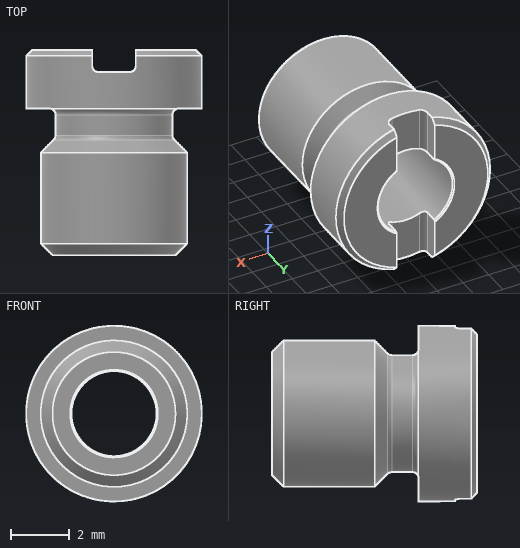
import cadquery as cq

total_length = 7.0
head_diameter = 6.0
head_length = 2.0
head_chamfer = 0.2
shank_diameter = 5.0
shank_length = 3.5
shank_chamfer = 0.4
neck_diameter = 4.0
bore_diameter = 2.9
bore_chamfer = 0.05
slot_width = 1.48
slot_depth = 0.75
inner_corner_radius = 0.2

head_radius = head_diameter / 2
shank_radius = shank_diameter / 2
neck_radius = neck_diameter / 2
bore_radius = bore_diameter / 2
head_start = total_length - head_length
neck_start = shank_length + shank_radius - neck_radius


def turned_body():
    """Revolve the half section, then round both ends of the neck."""
    body = (
        cq.Workplane("XY")
        .moveTo(bore_radius + bore_chamfer, 0)
        .lineTo(shank_radius - shank_chamfer, 0)
        .lineTo(shank_radius, shank_chamfer)
        .lineTo(shank_radius, shank_length)
        .lineTo(neck_radius, neck_start)
        .lineTo(neck_radius, head_start)
        .lineTo(head_radius, head_start)
        .lineTo(head_radius, total_length - head_chamfer)
        .lineTo(head_radius - head_chamfer, total_length)
        .lineTo(bore_radius + bore_chamfer, total_length)
        .lineTo(bore_radius, total_length - bore_chamfer)
        .lineTo(bore_radius, bore_chamfer)
        .close()
        .revolve(360, (0, 0, 0), (0, 1, 0))
    )
    margin = 0.07
    neck_region = cq.selectors.BoxSelector(
        (-neck_radius - margin, neck_start - margin, -neck_radius - margin),
        (neck_radius + margin, head_start + margin, neck_radius + margin),
        boundingbox=True,
    )
    return body.edges(neck_region).edges("%CIRCLE").fillet(inner_corner_radius)


def driver_slot():
    """Slot across the head face along Z, with rounded floor corners."""
    return (
        cq.Workplane("XY")
        .box(slot_width, 2 * slot_depth, head_diameter)
        .edges("|Z and <Y")
        .fillet(inner_corner_radius)
        .translate((0, total_length, 0))
    )


result = turned_body().cut(driver_slot())